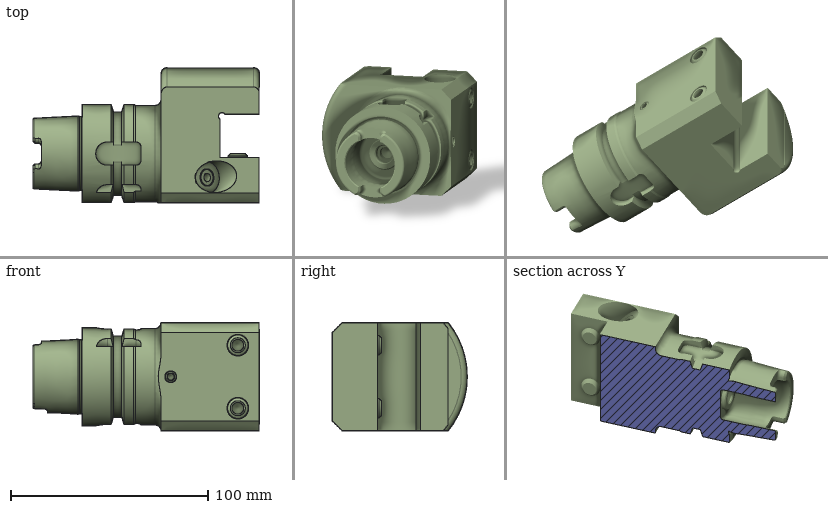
import cadquery as cq
import math

LENGTH = 115.0
FLANGE_X = 25.0
FLANGE_RADIUS = 25.0
BLOCK_X = 65.0
BLOCK_HALF_HEIGHT = 27.5
BLOCK_FRONT_Y = -FLANGE_RADIUS
BLOCK_BACK_RADIUS = 43.6
BLOCK_BACK_FILLET = 3.1
END_STEP = 0.2
BLOCK_CHAMFER = 5.1

TIP_RADIUS = 17.9
TIP_FILLET = 0.9
TAPER_END_X = 23.0
TAPER_END_RADIUS = 19.1
NECK_X = 23.6
NECK_RADIUS = 18.9
NECK_END_X = 24.6
RELIEF_INNER_RADIUS = 18.5
RELIEF_FLOOR_RADIUS = 19.3
RELIEF_RADIUS = 20.1
RELIEF_DEPTH = 0.5

GROOVE_START_X = 39.7
GROOVE_END_X = 46.2
GROOVE_RADIUS = 21.2
GROOVE_SLOPE = 1.3
STEP_START_X = 51.1
STEP_END_X = 52.1
COLLAR_RADIUS = 24.5
COLLAR_FILLET = BLOCK_HALF_HEIGHT - COLLAR_RADIUS

BORE_RADIUS = 13.0
BORE_CHAMFER = 0.5
BORE_FLARE_X = 9.7
BORE_FLARE_END_X = 17.7
BORE_FLARE_RADIUS = 13.2
BORE_FLOOR_X = 29.9
BORE_FLOOR_FILLET = 1.4
BOSS_DIAMETER = 16.0
BOSS_HEIGHT = 2.3
BOSS_CHAMFER = 0.52
BOSS_BORE_DIAMETER = 9.0
BOSS_BORE_CHAMFER = 0.52
BOSS_BORE_DEPTH = 3.5
BOSS_SOCKET_DIAMETER = 6.4

DRIVE_HALF_WIDTH = 5.2
DRIVE_TOP_DEPTH = 4.3
DRIVE_BOTTOM_DEPTH = 7.4
DRIVE_FLOOR_FILLET = 1.4
DRIVE_EDGE_CHAMFER = 1.0
DRIVE_CORNER_RADIUS = 2.6
DRIVE_CORNER_Z = 13.7
DRIVE_INNER_Z = 6.9

KEY_START_X = 31.9
KEY_END_X = 54.9
KEY_HALF_WIDTH = 5.9
KEY_CORNER_RADIUS = 2.5
KEY_FLOOR_Z = 20.7
NOTCH_WALL_Y = -15.8
NOTCH_FLOOR_Z = 15.4

SEAT_DEPTH = 20.0
SEAT_BOTTOM_Y = -2.0
SEAT_TOP_Y = 19.9
SEAT_RELIEF_DIAMETER = 3.5
SEAT_RELIEF_INSET = 0.9

CLAMP_X = 104.0
CLAMP_Z = 16.0
CLAMP_TIP_DIAMETER = 10.0
CLAMP_TIP_FLAT = 7.4
CLAMP_TIP_HEIGHT = 2.1
CLAMP_TIP_CHAMFER = 1.4
CLAMP_HOLE_DIAMETER = 10.9
CLAMP_HEAD_FLAT = 7.6
CLAMP_SOCKET_DIAMETER = 6.0
CLAMP_SOCKET_DEPTH = 3.5
SCREW_RIM_CHAMFER = 0.2
SCREW_BEVEL_SLOPE = 0.7
PLUG_X = 69.9
PLUG_HOLE_DIAMETER = 6.0
PLUG_HEAD_FLAT = 4.0
PLUG_SOCKET_DIAMETER = 3.5
PLUG_SOCKET_DEPTH = 2.3

POCKET_X = 92.9
POCKET_Y = -11.7
POCKET_DIAMETER = 16.0
POCKET_TILT = 40.0
POCKET_TURN = 5.0
POCKET_DEPTH = 7.0
POCKET_RING_DIAMETER = 8.9
POCKET_RING_WIDTH = 0.3
POCKET_SOCKET_DIAMETER = 4.3
POCKET_SOCKET_DEPTH = 5.8

OVERCUT = 5.8
DRILL_HALF_ANGLE = math.radians(59)


def turned(points):
    """Solid of revolution about the X axis from (x, radius) points."""
    return cq.Workplane("XY").polyline(points).close().revolve(360, (0, 0), (1, 0))


def drilled(plane, diameter, depth):
    """Blind hole cutter with a conical bottom, sunk along the negative plane normal."""
    radius = diameter / 2
    cone = radius / math.tan(DRILL_HALF_ANGLE)
    profile = [(0, 0), (radius, 0), (radius, -depth), (0, -depth - cone)]
    return place(profile, plane)


def place(profile, plane):
    """Revolve (radius, height) points about the normal of the given plane."""
    solid = cq.Workplane("XZ").polyline(profile).close().revolve(360, (0, 0), (0, 1)).val()
    return cq.Workplane(obj=solid.moved(cq.Location(plane)))


def box(x0, x1, y0, y1, z0, z1):
    return cq.Workplane("XY").box(x1 - x0, y1 - y0, z1 - z0, centered=False).translate((x0, y0, z0))


def make_shank():
    outline = [
        (0, 0),
        (0, TIP_RADIUS),
        (TAPER_END_X, TAPER_END_RADIUS),
        (NECK_X, NECK_RADIUS),
        (NECK_END_X, NECK_RADIUS),
        (FLANGE_X + RELIEF_DEPTH, RELIEF_INNER_RADIUS),
        (FLANGE_X + RELIEF_DEPTH, RELIEF_FLOOR_RADIUS),
        (FLANGE_X, RELIEF_RADIUS),
        (FLANGE_X, FLANGE_RADIUS),
        (GROOVE_START_X, FLANGE_RADIUS),
        (GROOVE_START_X + GROOVE_SLOPE, GROOVE_RADIUS),
        (GROOVE_END_X - GROOVE_SLOPE, GROOVE_RADIUS),
        (GROOVE_END_X, FLANGE_RADIUS),
        (STEP_START_X, FLANGE_RADIUS),
        (STEP_END_X, COLLAR_RADIUS),
        (BLOCK_X, COLLAR_RADIUS),
        (BLOCK_X, 0),
    ]
    return turned(outline).faces("<X").edges().fillet(TIP_FILLET)


def make_bore():
    cavity = turned([
        (0, 0),
        (0, BORE_RADIUS + BORE_CHAMFER),
        (BORE_CHAMFER, BORE_RADIUS),
        (BORE_FLARE_X, BORE_RADIUS),
        (BORE_FLARE_END_X, BORE_FLARE_RADIUS),
        (BORE_FLOOR_X, BORE_FLARE_RADIUS),
        (BORE_FLOOR_X, 0),
    ])
    cavity = cavity.faces(">X").edges().fillet(BORE_FLOOR_FILLET)
    boss_x = BORE_FLOOR_X - BOSS_HEIGHT
    boss_radius = BOSS_DIAMETER / 2
    boss = turned([
        (boss_x, 0),
        (boss_x, boss_radius - BOSS_CHAMFER),
        (boss_x + BOSS_CHAMFER, boss_radius),
        (BORE_FLOOR_X, boss_radius),
        (BORE_FLOOR_X, 0),
    ])
    bore_radius = BOSS_BORE_DIAMETER / 2
    boss_bore = turned([
        (boss_x, 0),
        (boss_x, bore_radius + BOSS_BORE_CHAMFER),
        (boss_x + BOSS_BORE_CHAMFER, bore_radius),
        (boss_x + BOSS_BORE_DEPTH, bore_radius),
        (boss_x + BOSS_BORE_DEPTH, 0),
    ])
    socket_plane = cq.Plane((boss_x + BOSS_BORE_DEPTH, 0, 0), (0, 1, 0), (-1, 0, 0))
    socket = drilled(socket_plane, BOSS_SOCKET_DIAMETER, BOSS_BORE_DEPTH)
    return cavity.cut(boss).union(boss_bore).union(socket)


def drive_outline(work, widening):
    """Slot section with walls that flare round at the outside of the shank."""
    half = DRIVE_HALF_WIDTH + widening
    radius = DRIVE_CORNER_RADIUS - widening
    flare = half + radius
    diagonal = radius * math.sqrt(0.5)
    top = TAPER_END_RADIUS + OVERCUT
    mid_y = flare - diagonal
    mid_z = DRIVE_CORNER_Z + diagonal
    return (
        work.moveTo(-half, DRIVE_INNER_Z)
        .lineTo(half, DRIVE_INNER_Z)
        .lineTo(half, DRIVE_CORNER_Z)
        .threePointArc((mid_y, mid_z), (flare, DRIVE_CORNER_Z + radius))
        .lineTo(flare, top)
        .lineTo(-flare, top)
        .lineTo(-flare, DRIVE_CORNER_Z + radius)
        .threePointArc((-mid_y, mid_z), (-half, DRIVE_CORNER_Z))
        .close()
    )


def make_drive_slot(depth):
    """Slot cutter on the +Z side of the shank tip."""
    slot = drive_outline(cq.Workplane("YZ"), 0).extrude(depth)
    slot = slot.faces(">X").edges("not(<Z or >Z)").edges("not(>Y or <Y)").fillet(DRIVE_FLOOR_FILLET)
    mouth = drive_outline(cq.Workplane("YZ"), DRIVE_EDGE_CHAMFER).workplane(offset=DRIVE_EDGE_CHAMFER)
    mouth = drive_outline(mouth, 0).loft(ruled=True)
    return slot.union(mouth)


def make_keyway(center_y, floor_z):
    """Keyway cutter: round end towards the tip, rounded corners towards the block."""
    half = KEY_HALF_WIDTH
    height = FLANGE_RADIUS + OVERCUT - floor_z
    round_x = KEY_START_X + half
    body = box(round_x, KEY_END_X, center_y - half, center_y + half, floor_z, floor_z + height)
    body = body.edges("|Z and >X").fillet(KEY_CORNER_RADIUS)
    nose = cq.Workplane("XY", origin=(round_x, center_y, floor_z)).circle(half).extrude(height)
    return body.union(nose)


def make_block():
    block = box(BLOCK_X, LENGTH, BLOCK_FRONT_Y, BLOCK_BACK_RADIUS, -BLOCK_HALF_HEIGHT, BLOCK_HALF_HEIGHT)
    block = block.edges("|X and <Y").chamfer(BLOCK_CHAMFER)
    round_back = cq.Workplane("YZ", origin=(BLOCK_X, 0, 0)).circle(BLOCK_BACK_RADIUS)
    round_back = round_back.extrude(LENGTH - BLOCK_X).edges().fillet(BLOCK_BACK_FILLET)
    block = block.intersect(round_back)
    segment_y = math.sqrt(BLOCK_BACK_RADIUS**2 - BLOCK_HALF_HEIGHT**2)
    step_x = LENGTH - END_STEP
    step = box(step_x, LENGTH, BLOCK_FRONT_Y, segment_y, -BLOCK_HALF_HEIGHT, BLOCK_HALF_HEIGHT)
    return block.cut(step)


def make_collar_fillet():
    """Concave ring between collar and block, trimmed flush with the block's front face."""
    start_x = BLOCK_X - COLLAR_FILLET
    outer = COLLAR_RADIUS + COLLAR_FILLET
    diagonal = COLLAR_FILLET * math.sqrt(0.5)
    ring = (
        cq.Workplane("XY")
        .moveTo(start_x, GROOVE_RADIUS)
        .lineTo(start_x, COLLAR_RADIUS)
        .threePointArc((start_x + diagonal, outer - diagonal), (BLOCK_X, outer))
        .lineTo(BLOCK_X, GROOVE_RADIUS)
        .close()
        .revolve(360, (0, 0), (1, 0))
    )
    return ring.intersect(box(start_x, BLOCK_X, BLOCK_FRONT_Y, outer, -outer, outer))


def make_seat():
    seat_x = LENGTH - SEAT_DEPTH
    height = BLOCK_HALF_HEIGHT
    seat = box(seat_x, LENGTH + OVERCUT, SEAT_BOTTOM_Y, SEAT_TOP_Y, -height, height)
    corner = (seat_x + SEAT_RELIEF_INSET, SEAT_TOP_Y - SEAT_RELIEF_INSET, -height)
    relief = cq.Workplane("XY", origin=corner).circle(SEAT_RELIEF_DIAMETER / 2).extrude(2 * height)
    return seat.union(relief)


def front_plane(x, z):
    return cq.Plane((x, BLOCK_FRONT_Y, z), (1, 0, 0), (0, -1, 0))


def make_screw_head(plane, hole_diameter, head_flat, socket_diameter, socket_depth):
    """Cutter around a flush set screw: bevelled rim and a drilled socket."""
    rim = hole_diameter / 2
    flat = head_flat / 2
    thread = rim - SCREW_RIM_CHAMFER
    bevel_depth = (thread - flat) * SCREW_BEVEL_SLOPE
    bevel = place([(flat, 0), (rim, 0), (thread, -SCREW_RIM_CHAMFER), (thread, -bevel_depth)], plane)
    return bevel.union(drilled(plane, socket_diameter, socket_depth))


def make_clamp_tip(z):
    radius = CLAMP_TIP_DIAMETER / 2
    plane = cq.Plane((CLAMP_X, SEAT_BOTTOM_Y, z), (1, 0, 0), (0, 1, 0))
    profile = [
        (0, -CLAMP_TIP_HEIGHT),
        (radius, -CLAMP_TIP_HEIGHT),
        (radius, CLAMP_TIP_HEIGHT - CLAMP_TIP_CHAMFER),
        (CLAMP_TIP_FLAT / 2, CLAMP_TIP_HEIGHT),
        (0, CLAMP_TIP_HEIGHT),
    ]
    return place(profile, plane)


def make_pocket():
    """Inclined round pocket with a ring groove and a socket in its floor."""
    tilt = math.radians(POCKET_TILT)
    turn = math.radians(POCKET_TURN)
    axis = cq.Vector(math.sin(tilt) * math.cos(turn), math.sin(tilt) * math.sin(turn), math.cos(tilt))
    floor = cq.Vector(POCKET_X, POCKET_Y, BLOCK_HALF_HEIGHT) - axis * POCKET_DEPTH
    plane = cq.Plane(floor, (0, 1, 0), axis)
    radius = POCKET_DIAMETER / 2
    height = POCKET_DEPTH + POCKET_DIAMETER
    ring = POCKET_RING_DIAMETER / 2
    inner = ring - POCKET_RING_WIDTH
    pocket = place([(0, 0), (radius, 0), (radius, height), (0, height)], plane)
    groove = place([(inner, 0), (ring, 0), (ring, -POCKET_RING_WIDTH), (inner, -POCKET_RING_WIDTH)], plane)
    socket = drilled(plane, POCKET_SOCKET_DIAMETER, POCKET_SOCKET_DEPTH)
    return pocket.union(groove).union(socket)


shank = make_shank().cut(make_bore())
shank = shank.cut(make_drive_slot(DRIVE_TOP_DEPTH))
shank = shank.cut(make_drive_slot(DRIVE_BOTTOM_DEPTH).mirror("XY"))

keyway = make_keyway(0, KEY_FLOOR_Z)
notch = make_keyway(NOTCH_WALL_Y - KEY_HALF_WIDTH, NOTCH_FLOOR_Z)
shank = shank.cut(keyway).cut(keyway.mirror("XY")).cut(notch)

block = make_block().cut(make_seat()).cut(make_pocket())
for clamp_z in (-CLAMP_Z, CLAMP_Z):
    block = block.union(make_clamp_tip(clamp_z))
    block = block.cut(make_screw_head(
        front_plane(CLAMP_X, clamp_z),
        CLAMP_HOLE_DIAMETER, CLAMP_HEAD_FLAT, CLAMP_SOCKET_DIAMETER, CLAMP_SOCKET_DEPTH,
    ))
block = block.cut(make_screw_head(
    front_plane(PLUG_X, 0),
    PLUG_HOLE_DIAMETER, PLUG_HEAD_FLAT, PLUG_SOCKET_DIAMETER, PLUG_SOCKET_DEPTH,
))

result = shank.union(make_collar_fillet()).union(block)